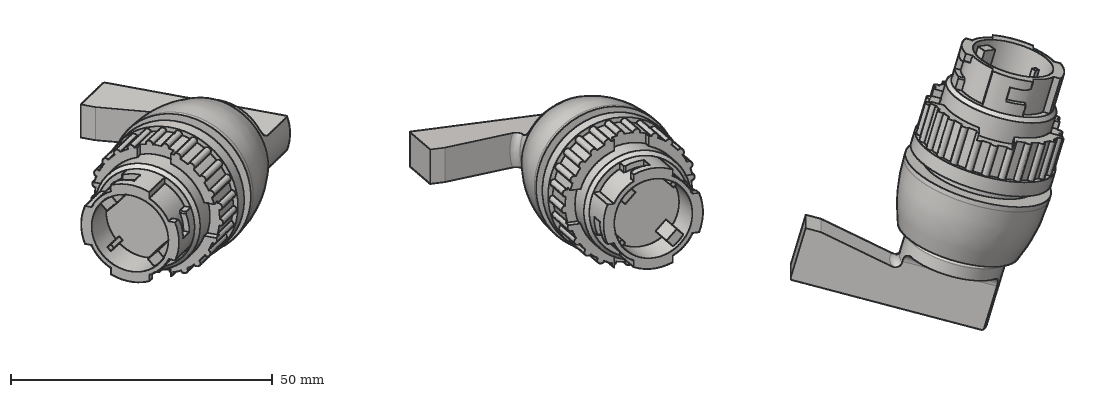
import cadquery as cq

lever_top_y = 29.5
lever_tip_x = -29.0
lever_width = 7.0
lever_tip_depth = 11.0
lever_tip_flat = 3.0
lever_root_x = -9.0
lever_root_depth = 7.5
lever_end_round = 0.4
lever_root_fillet = 1.3
lever_side_fillet = 2.0

disc_radius = 10.0
disc_bottom_y = 15.0
disc_top_y = 18.0
disc_round = 0.4
pin_diameter = 5.0
pin_offset = 5.0
pin_embed = 1.0

barrel_front_y = 14.0
barrel_rim_y = 1.0
barrel_front_radius = 12.05
barrel_radius = 14.5

neck_radius = 22.3 / 2
neck_rear_y = -2.0
neck_key_reach = 12.4
neck_key_width = 3.0

flange_radius = 14.0
flange_rear_y = -5.0
nut_rear_y = -13.0
nut_radius = 13.0
rib_count = 25
rib_radius = 0.75
notch_width = 7.0
notch_depth = 1.5

body_radius = 11.0
tail_radius = 10.2
tail_front_y = -17.0
tail_rear_y = -24.5
body_chamfer = body_radius - tail_radius
quarter_turns = (0, 90, 180, 270)
recess_radius = 9.0
recess_edge = 4.0
slot_front_y = -19.5
slot_rear_y = -22.5
slot_front_corner = 0.3
slot_rear_lead = 1.5
slot_rear_drop = 0.5

bore_radius = 8.0
bore_floor_y = -17.5
wide_key_rear_y = -23.3
narrow_key_rear_y = -21.5
wide_key_width = 3.0
wide_key_inner = 6.0
narrow_key_width = 1.0
narrow_key_inner = 7.0


def plane_at(y):
    """XZ plane at height y; extruding from it by a positive length goes toward +Y."""
    return cq.Workplane(cq.Plane(origin=(0, y, 0), xDir=(-1, 0, 0), normal=(0, 1, 0)))


def cylinder(radius, y_low, y_high):
    return plane_at(y_low).circle(radius).extrude(y_high - y_low)


def block(x_low, x_high, y_low, y_high, z_low, z_high):
    size = (x_high - x_low, y_high - y_low, z_high - z_low)
    return cq.Workplane("XY").box(*size, centered=False).translate((x_low, y_low, z_low))


def turned(shape, angle):
    """Turn a shape about the Y axis."""
    return shape.rotate((0, 0, 0), (0, 1, 0), angle)


def make_lever():
    """The flat lever, with the column of the disc that lies within its width."""
    tip_bottom_y = lever_top_y - lever_tip_depth
    root_y = lever_top_y - lever_root_depth
    half_width = lever_width / 2
    arm = (
        cq.Workplane("XY")
        .moveTo(lever_tip_x, lever_top_y)
        .lineTo(lever_tip_x, tip_bottom_y)
        .lineTo(lever_tip_x + lever_tip_flat, tip_bottom_y)
        .lineTo(lever_root_x, root_y)
        .lineTo(lever_root_x, lever_top_y)
        .close()
        .extrude(half_width, both=True)
    )
    slab = block(-disc_radius, disc_radius, disc_top_y, lever_top_y, -half_width, half_width)
    column = cylinder(disc_radius, disc_top_y, lever_top_y).intersect(slab)
    lever = arm.union(column)
    lever = lever.faces(">Y").edges("<X or >X").fillet(lever_end_round)
    root_low = (-disc_radius, root_y - half_width, -half_width)
    root_high = (-disc_radius + half_width, root_y + half_width, half_width)
    root_edge = cq.selectors.BoxSelector(root_low, root_high)
    return lever.edges(root_edge).edges("not |Y").fillet(lever_root_fillet)


def make_lever_flare():
    """Concave rounds that spread from both sides of the lever onto the disc."""
    half_width = lever_width / 2
    flare_half_width = half_width + lever_side_fillet
    flare_top_y = disc_top_y + lever_side_fillet
    profile = (
        cq.Workplane("YZ")
        .moveTo(disc_top_y, -flare_half_width)
        .radiusArc((flare_top_y, -half_width), lever_side_fillet)
        .lineTo(flare_top_y, half_width)
        .radiusArc((disc_top_y, flare_half_width), lever_side_fillet)
        .close()
    )
    flare = profile.extrude(disc_radius, both=True)
    return flare.intersect(cylinder(disc_radius, disc_top_y, lever_top_y))


def make_handle():
    disc = cylinder(disc_radius, disc_bottom_y, disc_top_y)
    disc = disc.faces("<Y").edges().fillet(disc_round)
    return disc.union(make_lever_flare()).union(make_lever())


def make_pins():
    pins = plane_at(barrel_front_y - pin_embed).pushPoints([(-pin_offset, 0), (pin_offset, 0)])
    return pins.circle(pin_diameter / 2).extrude(disc_bottom_y - barrel_front_y + 2 * pin_embed)


def make_barrel_and_body():
    barrel_length = barrel_front_y - barrel_rim_y
    barrel_taper = barrel_radius - barrel_front_radius
    side_radius = (barrel_length**2 + barrel_taper**2) / (2 * barrel_taper)
    profile = (
        cq.Workplane("XY")
        .moveTo(0, barrel_front_y)
        .lineTo(barrel_front_radius, barrel_front_y)
        .radiusArc((barrel_radius, barrel_rim_y), side_radius)
        .lineTo(barrel_radius, 0)
        .lineTo(neck_radius, 0)
        .lineTo(neck_radius, neck_rear_y)
        .lineTo(flange_radius, neck_rear_y)
        .lineTo(flange_radius, flange_rear_y)
        .lineTo(body_radius, flange_rear_y)
        .lineTo(body_radius, tail_front_y + body_chamfer)
        .lineTo(tail_radius, tail_front_y)
        .lineTo(tail_radius, tail_rear_y)
        .lineTo(0, tail_rear_y)
        .close()
    )
    body = profile.revolve(360, (0, 0, 0), (0, 1, 0))
    half_key = neck_key_width / 2
    return body.union(block(0, neck_key_reach, neck_rear_y, 0, -half_key, half_key))


def make_knurled_nut():
    nut = cylinder(nut_radius, nut_rear_y, flange_rear_y)
    rib = cylinder(rib_radius, nut_rear_y, flange_rear_y).translate((0, 0, -nut_radius))
    for index in range(rib_count):
        nut = nut.union(turned(rib, index * 360 / rib_count))
    half_notch = notch_width / 2
    notch = block(-half_notch, half_notch, nut_rear_y, nut_rear_y + notch_depth, 0, flange_radius)
    for angle in quarter_turns:
        nut = nut.cut(turned(notch, angle))
    return nut.cut(cylinder(body_radius, nut_rear_y, flange_rear_y))


def make_bayonet_cut():
    """One corner recess of the tail, with the side slot that opens from it."""
    recess = block(
        -body_radius, -recess_edge, tail_rear_y, tail_front_y, recess_edge, body_radius
    )
    slot = (
        cq.Workplane("XY")
        .moveTo(-recess_edge, slot_front_y + slot_front_corner)
        .lineTo(-recess_edge + slot_front_corner, slot_front_y)
        .lineTo(0, slot_front_y)
        .lineTo(0, slot_rear_y)
        .lineTo(-recess_edge + slot_rear_lead, slot_rear_y)
        .threePointArc(
            (-recess_edge + slot_rear_lead / 2, slot_rear_y - slot_rear_drop / 4),
            (-recess_edge, slot_rear_y - slot_rear_drop),
        )
        .close()
        .extrude(body_radius)
    )
    return recess.union(slot).cut(cylinder(recess_radius, tail_rear_y, tail_front_y))


def make_bore_keys():
    """Two wide and two narrow keys on the diagonals, running from the bore floor."""
    key_outer = (bore_radius + recess_radius) / 2
    kinds = (
        (-45, wide_key_width, wide_key_inner, wide_key_rear_y),
        (45, narrow_key_width, narrow_key_inner, narrow_key_rear_y),
    )
    keys = cq.Workplane("XY")
    for angle, width, inner, rear_y in kinds:
        key = block(-width / 2, width / 2, rear_y, bore_floor_y, inner, key_outer)
        keys = keys.add(turned(key, angle)).add(turned(key, angle + 180))
    return keys.combine()


result = make_barrel_and_body().union(make_knurled_nut())
for quarter in quarter_turns:
    result = result.cut(turned(make_bayonet_cut(), quarter))
result = result.cut(cylinder(bore_radius, tail_rear_y, bore_floor_y)).union(make_bore_keys())
result = result.union(make_pins()).union(make_handle())